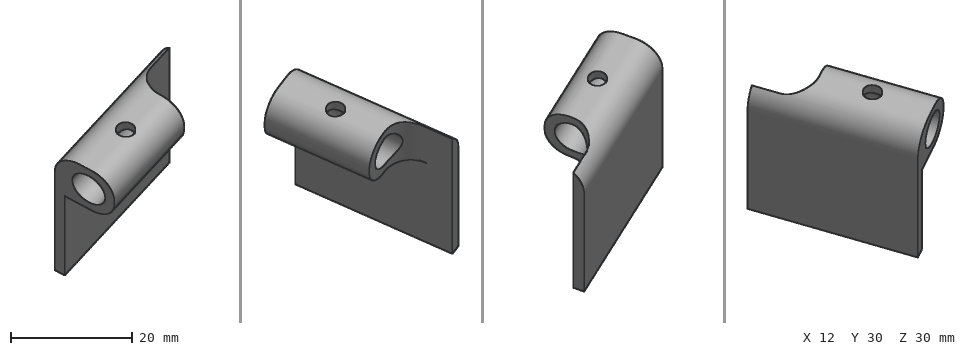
import cadquery as cq

width = 12.0
length = 30.0
height = 30.0

leaf_thickness = 2.0
knuckle_height = 10.0
leaf_corner_radius = 5.0
knuckle_corner_radius = 4.5

bore_diameter = 6.6
bore_x = 6.85
bore_z = height - knuckle_height / 2

cross_hole_diameter = 3.2
cross_hole_x = bore_x
cross_hole_y = 10.55

notch_length = 10.0
notch_radius = 5.0


def leaf_with_knuckle():
    """L-shaped profile with a rounded knuckle, extruded along +Y."""
    leaf = cq.Workplane("XY").box(leaf_thickness, length, height, centered=False)
    knuckle = (
        cq.Workplane("XY")
        .box(width, length, knuckle_height, centered=False)
        .translate((0, 0, height - knuckle_height))
    )
    return (
        leaf.union(knuckle)
        .edges("|Y and >X")
        .fillet(knuckle_corner_radius)
        .edges("|Y and <X and >Z")
        .fillet(leaf_corner_radius)
    )


def end_notch():
    """Volume beside the leaf, with a rounded inner corner."""
    return (
        cq.Workplane("XY")
        .box(width - leaf_thickness, notch_length, height, centered=False)
        .translate((leaf_thickness, length - notch_length, 0))
        .edges("|Z and <X and <Y")
        .fillet(notch_radius)
    )


def pin_bore():
    return (
        cq.Workplane("XZ", origin=(bore_x, 0, bore_z))
        .circle(bore_diameter / 2)
        .extrude(-length)
    )


def cross_hole():
    return (
        cq.Workplane("XY", origin=(cross_hole_x, cross_hole_y, 0))
        .circle(cross_hole_diameter / 2)
        .extrude(height)
    )


result = leaf_with_knuckle().cut(end_notch()).cut(pin_bore()).cut(cross_hole())